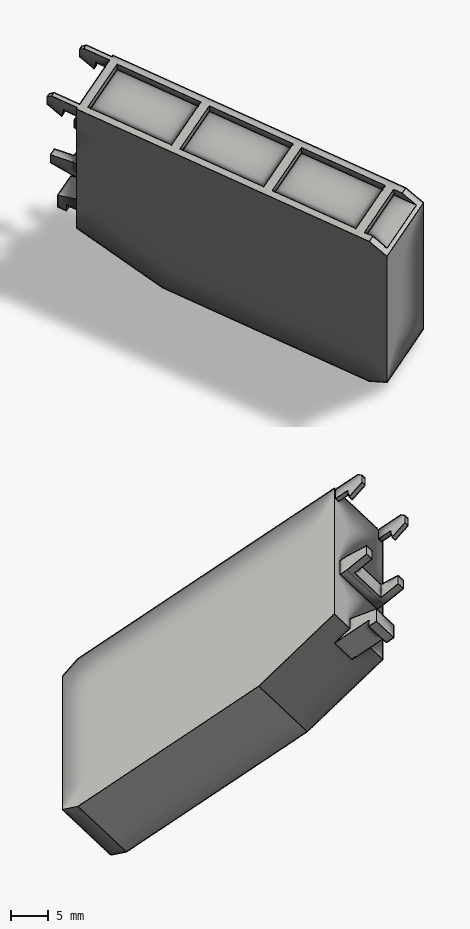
import cadquery as cq
import math

OVERALL_LENGTH = 51.77
HEIGHT = 32.0
WIDTH = 10.0
REACH = 4.6
BODY_LENGTH = OVERALL_LENGTH - REACH
END_BEVEL_LENGTH = 2.7
END_BEVEL_HEIGHT = END_BEVEL_LENGTH * math.tan(math.radians(30))
RAMP_LENGTH = 13.1
RAMP_HEIGHT = RAMP_LENGTH * math.tan(math.radians(20))

POCKET_COUNT = 4
POCKET_START = 1.2
POCKET_PITCH = 14.0
POCKET_LENGTH = 12.7
POCKET_WIDTH = 8.0
POCKET_DEPTH = 1.25

HOOK_THICKNESS = 0.65
HOOK_INSET = 0.25
HOOK_ARM_HEIGHT = 2.0
HOOK_BEVEL_LENGTH = 0.7
HOOK_BEVEL_HEIGHT = 0.75
HOOK_NOSE_HEIGHT = 2.3
HOOK_DROP = 3.6
BARB_POINT_X = -2.35
BARB_ROOT_X = -2.1

CLIP_WIDTH = 7.6
CLIP_PRONG_THICKNESS = 1.1
CLIP_WEB_LENGTH = 1.6
CLIP_FLAT_LENGTH = 1.15
CLIP_HEIGHT = 3.0
CLIP_TIP_HEIGHT = 1.8

FOOT_WIDTH = 3.6
FOOT_ROOT_Z = 6.85
FOOT_NOSE_Z = 5.2
FOOT_UNDERSIDE_Z = 3.8
FOOT_BOTTOM_Z = 2.5
FOOT_LIP_LENGTH = 1.3


def extrude_profile(points, thickness, center_y=0.0):
    """Plate with an XZ outline, its thickness centred on center_y."""
    plate = cq.Workplane("XZ").polyline(points).close().extrude(thickness / 2, both=True)
    return plate.translate((0, center_y, 0))


def make_housing():
    outline = [
        (0, RAMP_HEIGHT),
        (RAMP_LENGTH, 0),
        (BODY_LENGTH - END_BEVEL_LENGTH, 0),
        (BODY_LENGTH, END_BEVEL_HEIGHT),
        (BODY_LENGTH, HEIGHT - END_BEVEL_HEIGHT),
        (BODY_LENGTH - END_BEVEL_LENGTH, HEIGHT),
        (0, HEIGHT),
    ]
    return extrude_profile(outline, WIDTH)


def make_pocket(index):
    start = POCKET_START + index * POCKET_PITCH
    pocket = cq.Workplane("XY").box(POCKET_LENGTH, POCKET_WIDTH, POCKET_DEPTH, centered=(False, True, False))
    return pocket.translate((start, 0, HEIGHT - POCKET_DEPTH))


def make_hook(side):
    outline = [
        (0, HEIGHT),
        (HOOK_BEVEL_LENGTH - REACH, HEIGHT),
        (-REACH, HEIGHT - HOOK_BEVEL_HEIGHT),
        (-REACH, HEIGHT - HOOK_NOSE_HEIGHT),
        (BARB_POINT_X, HEIGHT - HOOK_DROP),
        (BARB_ROOT_X, HEIGHT - HOOK_ARM_HEIGHT),
        (0, HEIGHT - HOOK_ARM_HEIGHT),
    ]
    center_y = side * (WIDTH / 2 - HOOK_INSET - HOOK_THICKNESS / 2)
    return extrude_profile(outline, HOOK_THICKNESS, center_y)


def make_clip():
    middle_z = HEIGHT / 2
    outline = [
        (0, middle_z + CLIP_HEIGHT / 2),
        (-CLIP_FLAT_LENGTH, middle_z + CLIP_HEIGHT / 2),
        (-REACH, middle_z + CLIP_TIP_HEIGHT / 2),
        (-REACH, middle_z - CLIP_TIP_HEIGHT / 2),
        (-CLIP_FLAT_LENGTH, middle_z - CLIP_HEIGHT / 2),
        (0, middle_z - CLIP_HEIGHT / 2),
    ]
    gap_width = CLIP_WIDTH - 2 * CLIP_PRONG_THICKNESS
    gap = cq.Workplane("XY").box(REACH, gap_width, CLIP_HEIGHT)
    gap = gap.translate((-CLIP_WEB_LENGTH - REACH / 2, 0, middle_z))
    return extrude_profile(outline, CLIP_WIDTH).cut(gap)


def make_foot():
    underside_end = RAMP_LENGTH * (1 - FOOT_UNDERSIDE_Z / RAMP_HEIGHT)
    outline = [
        (0, FOOT_ROOT_Z),
        (-REACH, FOOT_NOSE_Z),
        (-REACH, FOOT_BOTTOM_Z),
        (FOOT_LIP_LENGTH - REACH, FOOT_BOTTOM_Z),
        (FOOT_LIP_LENGTH - REACH, FOOT_UNDERSIDE_Z),
        (underside_end, FOOT_UNDERSIDE_Z),
        (underside_end, FOOT_ROOT_Z),
    ]
    return extrude_profile(outline, FOOT_WIDTH)


result = make_housing()
for pocket_index in range(POCKET_COUNT):
    result = result.cut(make_pocket(pocket_index))
for hook_side in (-1, 1):
    result = result.union(make_hook(hook_side))
result = result.union(make_clip())
result = result.union(make_foot())